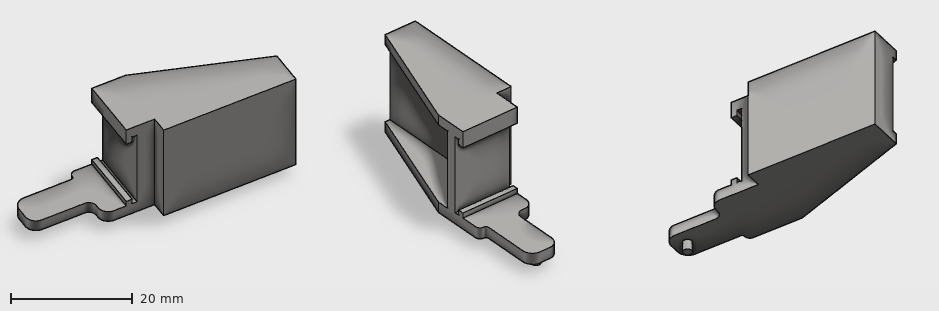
import cadquery as cq

width = 14.6
length = 46.1
height = 19.3

front_width = 11.55
step_y = 21.1
taper_y = 22.15
rear_width = 6.4

web_front_y = 17.8
web_thickness = 2.0
block_left_x = 9.2

top_rear_thickness = 1.95
top_front_thickness = 2.1
bottom_rear_thickness = 2.05
bottom_front_thickness = 2.2

lip_front_y = 15.75
lip_depth = 1.1
top_lip_drop = 1.1
bottom_lip_rise = 1.0

shoulder_y = 11.5
tab_left_x = 1.55
tab_right_x = 7.65
tip_radius = 2.05
left_shoulder_radius = 1.0
left_inner_radius = 0.5
right_shoulder_radius = 1.95
right_inner_radius = 1.4

pin_diameter = 1.62
pin_length = 2.0
pin_x = 4.93
pin_y = 2.77


def box(x_start, x_end, y_start, y_end, z_start, z_end):
    """Axis-aligned block between the given limits."""
    size = (x_end - x_start, y_end - y_start, z_end - z_start)
    return cq.Workplane("XY").box(*size, centered=False).translate((x_start, y_start, z_start))


def bracket_body():
    """Full-height prism with the slanted left side and the stepped right side."""
    outline = [
        (0, lip_front_y),
        (front_width, lip_front_y),
        (front_width, step_y),
        (width, step_y),
        (width, length),
        (width - rear_width, length),
        (0, taper_y),
    ]
    return cq.Workplane("XY").polyline(outline).close().extrude(height)


def side_pocket():
    """Space behind the web, left of the block and between the plates."""
    return box(
        0, block_left_x,
        web_front_y + web_thickness, length,
        bottom_rear_thickness, height - top_rear_thickness,
    )


def front_channel():
    """Space in front of the web, with the opening narrowed by the two lips."""
    floor_z = bottom_front_thickness
    ceiling_z = height - top_front_thickness
    lip_rear_y = lip_front_y + lip_depth
    behind_lips = box(0, front_width, lip_rear_y, web_front_y, floor_z, ceiling_z)
    between_lips = box(
        0, front_width,
        lip_front_y, lip_rear_y,
        floor_z + bottom_lip_rise, ceiling_z - top_lip_drop,
    )
    return behind_lips.union(between_lips)


def round_corner(plate, x, y, radius):
    """Round the vertical edge of the plate that stands at (x, y)."""
    corner = cq.selectors.NearestToPointSelector((x, y, bottom_front_thickness / 2))
    return plate.edges("|Z").edges(corner).fillet(radius)


def tab_plate():
    """Forward extension of the bottom plate, narrowing to a round-cornered tab."""
    outline = [
        (0, lip_front_y),
        (0, shoulder_y),
        (tab_left_x, shoulder_y),
        (tab_left_x, 0),
        (tab_right_x, 0),
        (tab_right_x, shoulder_y),
        (front_width, shoulder_y),
        (front_width, lip_front_y),
    ]
    plate = cq.Workplane("XY").polyline(outline).close().extrude(bottom_front_thickness)
    rounded_corners = [
        (0, shoulder_y, left_shoulder_radius),
        (tab_left_x, shoulder_y, left_inner_radius),
        (tab_left_x, 0, tip_radius),
        (tab_right_x, 0, tip_radius),
        (tab_right_x, shoulder_y, right_inner_radius),
        (front_width, shoulder_y, right_shoulder_radius),
    ]
    for x, y, radius in rounded_corners:
        plate = round_corner(plate, x, y, radius)
    return plate


def locating_pin():
    """Round pin hanging below the tab."""
    return cq.Workplane("XY").center(pin_x, pin_y).circle(pin_diameter / 2).extrude(-pin_length)


bracket = bracket_body().cut(side_pocket()).cut(front_channel())
result = bracket.union(tab_plate()).union(locating_pin())